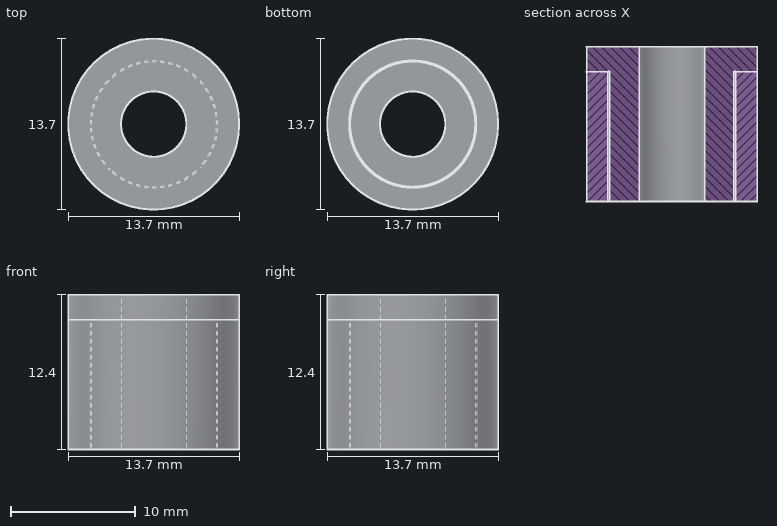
import cadquery as cq

outer_diameter = 13.7
total_height = 12.4
flange_thickness = 2.0
through_hole_diameter = 5.2

neck_diameter = 10.0
sleeve_bore_diameter = 10.2

sleeve_height = total_height - flange_thickness


def make_sleeve():
    """Outer ring that surrounds the neck and supports the flange."""
    return (
        cq.Workplane("XY")
        .circle(outer_diameter / 2)
        .circle(sleeve_bore_diameter / 2)
        .extrude(sleeve_height)
    )


def make_flanged_bushing():
    """Flange and full-length neck, with one straight hole through both."""
    neck = cq.Workplane("XY").circle(neck_diameter / 2).extrude(sleeve_height)
    flange = (
        cq.Workplane("XY", origin=(0, 0, sleeve_height))
        .circle(outer_diameter / 2)
        .extrude(flange_thickness)
    )
    through_hole = cq.Workplane("XY").circle(through_hole_diameter / 2).extrude(total_height)
    return neck.union(flange).cut(through_hole)


sleeve = make_sleeve()
flanged_bushing = make_flanged_bushing()

result = cq.Compound.makeCompound([sleeve.val(), flanged_bushing.val()])